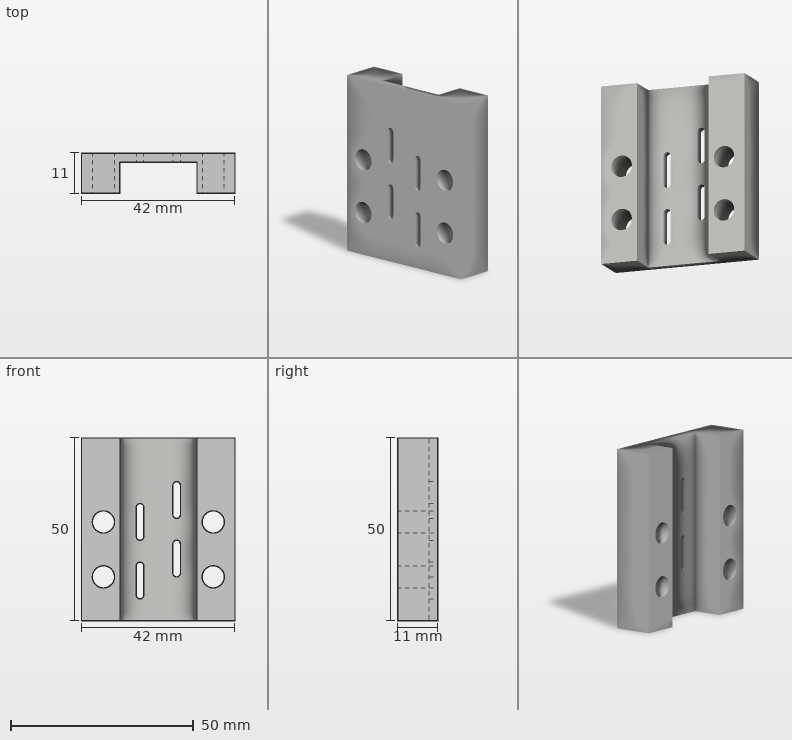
import cadquery as cq

width = 42
depth = 11
height = 50

channel_width = 21
web_thickness = 2.5

hole_diameter = 6
hole_x = 15
lower_hole_z = 12 - height / 2
hole_spacing = 15

slot_width = 2
slot_length = 10
slot_x = 5
left_lower_slot_z = 11 - height / 2
slot_spacing = 16
column_stagger = 6


def make_channel_block():
    block = cq.Workplane("XY").box(width, depth, height)
    channel_depth = depth - web_thickness
    channel = cq.Workplane("XY").box(channel_width, channel_depth, height)
    return block.cut(channel.translate((0, -web_thickness / 2, 0)))


def front_sketch(points):
    """Points (x, z) on the -Y face plane."""
    return cq.Workplane("XZ", origin=(0, -depth / 2, 0)).pushPoints(points)


def make_leg_holes():
    centers = [
        (x, lower_hole_z + row * hole_spacing)
        for x in (-hole_x, hole_x)
        for row in range(2)
    ]
    return front_sketch(centers).circle(hole_diameter / 2).extrude(-depth)


def make_web_slots():
    columns = (
        (-slot_x, left_lower_slot_z),
        (slot_x, left_lower_slot_z + column_stagger),
    )
    centers = [(x, z + row * slot_spacing) for x, z in columns for row in range(2)]
    return front_sketch(centers).slot2D(slot_length, slot_width, 90).extrude(-depth)


result = make_channel_block().cut(make_leg_holes()).cut(make_web_slots())